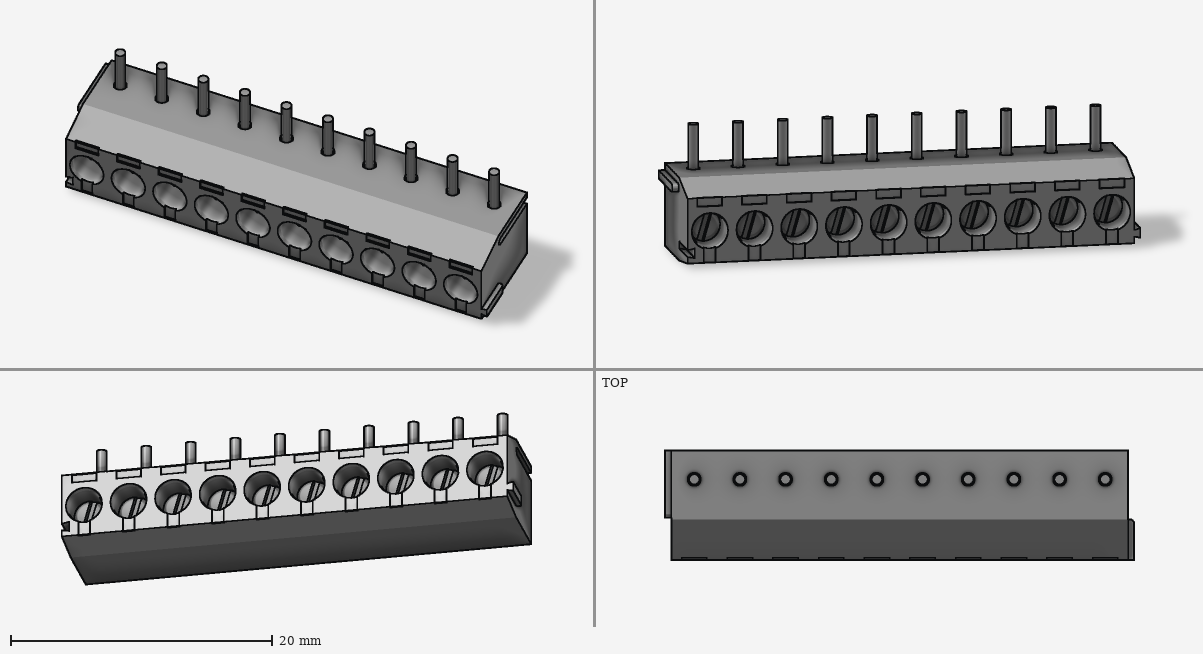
import cadquery as cq

OVERALL_LENGTH = 35.95
POLES = 10
LEFT_RIB_WIDTH = 0.5
RIGHT_RIB_WIDTH = 0.45
BODY_LEFT = LEFT_RIB_WIDTH
BODY_RIGHT = OVERALL_LENGTH - RIGHT_RIB_WIDTH
BODY_LENGTH = BODY_RIGHT - BODY_LEFT
BODY_DEPTH = 8.4
BODY_HEIGHT = 6.5
PITCH = BODY_LENGTH / POLES
POLE_CENTERS = [BODY_LEFT + (pole + 0.5) * PITCH for pole in range(POLES)]

BEVEL_DEPTH = 3.13
FRONT_TOP = 5.55
FRONT_BOTTOM = 0.43

PIN_DIAMETER = 0.8
PIN_LENGTH = 3.5
PIN_Y = 6.2
PIN_HOLE_DIAMETER = 1.0
PIN_HOLE_DEPTH = 0.35

SCREW_Z = 2.9
MOUTH_DIAMETER = 2.85
MOUTH_DEPTH = 0.35
BORE_DIAMETER = 2.65
BORE_DEPTH = 2.88
HEAD_DIAMETER = 2.6
HEAD_FLAT_DIAMETER = 1.8
HEAD_HEIGHT = 0.85
HEAD_ROUNDING = (HEAD_DIAMETER - HEAD_FLAT_DIAMETER) / 2
SLOT_WIDTH = 0.55
SLOT_DEPTH = 0.5
SLOT_TILT = 16.0

RECESS_DEPTH = 0.18
UPPER_RECESS_WIDTH = 1.95
UPPER_RECESS_HEIGHT = 0.7
LOWER_RECESS_WIDTH = 0.95

UPPER_RIB_Z = 5.65
UPPER_RIB_HEIGHT = 0.65
UPPER_RIB_FRONT = 3.25
LOWER_RIB_Z = 1.22
LOWER_RIB_ROOT_HEIGHT = 0.55
LOWER_RIB_TIP_HEIGHT = 0.75
LOWER_RIB_LENGTH = 3.13
LOWER_RIB_CHAMFER = 0.2
GROOVE_DEPTH = 0.58


def block(x_min, x_max, y_min, y_max, z_min, z_max):
    """Axis-aligned box between the given limits."""
    size = (x_max - x_min, y_max - y_min, z_max - z_min)
    return cq.Workplane("XY").box(*size, centered=False).translate((x_min, y_min, z_min))


def cylinder_along_y(x, diameter, y_min, y_max):
    """Cylinder on the axis of the screw at x."""
    plane = cq.Workplane("XZ", origin=(x, y_max, SCREW_Z))
    return plane.circle(diameter / 2).extrude(y_max - y_min)


def housing():
    """Long block, bevelled above and below its front face."""
    profile = [
        (0, FRONT_BOTTOM),
        (BEVEL_DEPTH, 0),
        (BODY_DEPTH, 0),
        (BODY_DEPTH, BODY_HEIGHT),
        (BEVEL_DEPTH, BODY_HEIGHT),
        (0, FRONT_TOP),
    ]
    plane = cq.Workplane("YZ", origin=(BODY_LEFT, 0, 0))
    return plane.polyline(profile).close().extrude(BODY_LENGTH)


def upper_bar(x_min, x_max):
    """Bar running to the back face, with a half-round front end."""
    radius = UPPER_RIB_HEIGHT / 2
    bottom = UPPER_RIB_Z - radius
    top = UPPER_RIB_Z + radius
    plane = cq.Workplane("YZ", origin=(x_min, 0, 0))
    outline = (
        plane.moveTo(BODY_DEPTH, bottom)
        .lineTo(UPPER_RIB_FRONT + radius, bottom)
        .threePointArc((UPPER_RIB_FRONT, UPPER_RIB_Z), (UPPER_RIB_FRONT + radius, top))
        .lineTo(BODY_DEPTH, top)
        .close()
    )
    return outline.extrude(x_max - x_min)


def lower_bar(x_root, x_tip):
    """Dovetail bar running back from the front face, wider at its tip than at its root."""
    half_root = LOWER_RIB_ROOT_HEIGHT / 2
    half_tip = LOWER_RIB_TIP_HEIGHT / 2
    section = [
        (x_root, LOWER_RIB_Z - half_root),
        (x_tip, LOWER_RIB_Z - half_tip),
        (x_tip, LOWER_RIB_Z + half_tip),
        (x_root, LOWER_RIB_Z + half_root),
    ]
    plane = cq.Workplane("XZ", origin=(0, LOWER_RIB_LENGTH, 0))
    return plane.polyline(section).close().extrude(LOWER_RIB_LENGTH)


def add_end_joints(body):
    """Upper rib and lower groove on the left end, the mating pair on the right end."""
    lower_rib = lower_bar(BODY_RIGHT, OVERALL_LENGTH)
    lower_rib = lower_rib.faces(">X").edges(">Y").chamfer(LOWER_RIB_CHAMFER)
    body = body.union(upper_bar(0, BODY_LEFT)).union(lower_rib)
    body = body.cut(lower_bar(BODY_LEFT, BODY_LEFT + GROOVE_DEPTH))
    return body.cut(upper_bar(BODY_RIGHT - GROOVE_DEPTH, BODY_RIGHT))


def screw_hole(x):
    """Bore for the screw with a conical lead-in at its mouth."""
    mouth_center = cq.Vector(x, 0, SCREW_Z)
    inward = cq.Vector(0, 1, 0)
    mouth = cq.Solid.makeCone(MOUTH_DIAMETER / 2, BORE_DIAMETER / 2, MOUTH_DEPTH, mouth_center, inward)
    return cylinder_along_y(x, BORE_DIAMETER, 0, BORE_DEPTH).union(cq.Workplane(mouth))


def screw_head(x):
    """Rounded head on the bore floor, with a tilted driver slot."""
    head_front = BORE_DEPTH - HEAD_HEIGHT
    head = cylinder_along_y(x, HEAD_DIAMETER, head_front, BORE_DEPTH)
    head = head.faces("<Y").edges().fillet(HEAD_ROUNDING)
    slot = (
        cq.Workplane("XY")
        .box(SLOT_WIDTH, SLOT_DEPTH, HEAD_DIAMETER)
        .rotate((0, 0, 0), (0, 1, 0), SLOT_TILT)
        .translate((x, head_front + SLOT_DEPTH / 2, SCREW_Z))
    )
    return head.cut(slot)


def front_recesses(x):
    """Recess under the upper bevel and recess from the screw hole to the lower bevel."""
    half_upper = UPPER_RECESS_WIDTH / 2
    half_lower = LOWER_RECESS_WIDTH / 2
    upper_floor = FRONT_TOP - UPPER_RECESS_HEIGHT
    upper = block(x - half_upper, x + half_upper, 0, RECESS_DEPTH, upper_floor, FRONT_TOP)
    lower = block(x - half_lower, x + half_lower, 0, RECESS_DEPTH, FRONT_BOTTOM, SCREW_Z)
    return upper.union(lower)


def pin_hole(x):
    """Clearance hole around the foot of a pin."""
    plane = cq.Workplane("XY", origin=(x, PIN_Y, BODY_HEIGHT - PIN_HOLE_DEPTH))
    return plane.circle(PIN_HOLE_DIAMETER / 2).extrude(PIN_HOLE_DEPTH)


def pin(x):
    """Round solder pin standing on the floor of its clearance hole."""
    plane = cq.Workplane("XY", origin=(x, PIN_Y, BODY_HEIGHT - PIN_HOLE_DEPTH))
    return plane.circle(PIN_DIAMETER / 2).extrude(PIN_HOLE_DEPTH + PIN_LENGTH)


result = add_end_joints(housing())
for center in POLE_CENTERS:
    result = result.cut(screw_hole(center)).cut(front_recesses(center)).cut(pin_hole(center))
    result = result.union(screw_head(center)).union(pin(center))